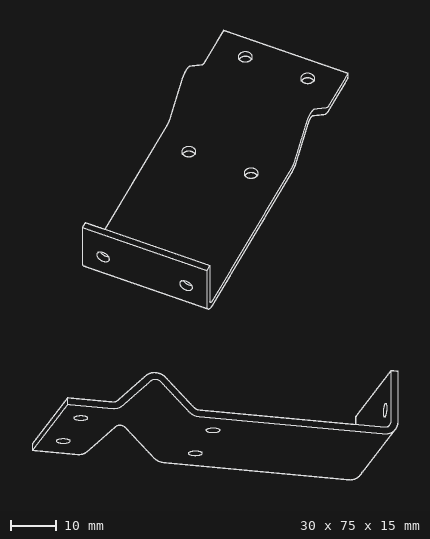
import cadquery as cq
import math

WIDTH = 30.0
LENGTH = 75.0
FLANGE_HEIGHT = 15.0
THICKNESS = 1.6
INNER_RADIUS = 1.6
OUTER_RADIUS = INNER_RADIUS + THICKNESS

RIDGE_SLOPE = 45.0
RIDGE_FROM_BACK = 20.0
RIDGE_UNDERSIDE_APEX = 8.47

HOLE_DIAMETER = 3.0
BASE_HOLE_SPACING = 15.0
BASE_HOLES_FROM_RIDGE = 15.0
FLANGE_HOLE_SPACING = 20.0
FLANGE_HOLE_HEIGHT = FLANGE_HEIGHT / 2

RIDGE_Y = LENGTH - RIDGE_FROM_BACK


def bent_strip():
    """Side profile of the bent sheet extruded across the width."""
    slope = math.radians(RIDGE_SLOPE)
    bend_setback = OUTER_RADIUS * math.tan(slope / 2)
    foot_offset = RIDGE_UNDERSIDE_APEX / math.tan(slope) + bend_setback
    foot_z = OUTER_RADIUS
    crest_z = RIDGE_UNDERSIDE_APEX - INNER_RADIUS / math.cos(slope)
    front_foot_y = RIDGE_Y - foot_offset
    back_foot_y = RIDGE_Y + foot_offset

    def around(center_y, center_z, radius, degrees):
        angle = math.radians(degrees)
        return (center_y + radius * math.cos(angle), center_z + radius * math.sin(angle))

    def flange_bend(radius, degrees):
        return around(OUTER_RADIUS, OUTER_RADIUS, radius, degrees)

    def front_foot(radius, turn):
        return around(front_foot_y, foot_z, radius, turn - 90)

    def back_foot(radius, turn):
        return around(back_foot_y, foot_z, radius, -90 - turn)

    def crest(radius, turn):
        return around(RIDGE_Y, crest_z, radius, 90 + turn)

    half_turn = RIDGE_SLOPE / 2
    profile = (
        cq.Workplane("YZ")
        .moveTo(0, FLANGE_HEIGHT)
        .lineTo(*flange_bend(OUTER_RADIUS, 180))
        .threePointArc(flange_bend(OUTER_RADIUS, 225), flange_bend(OUTER_RADIUS, 270))
        .lineTo(*front_foot(OUTER_RADIUS, 0))
        .threePointArc(front_foot(OUTER_RADIUS, half_turn), front_foot(OUTER_RADIUS, RIDGE_SLOPE))
        .lineTo(*crest(INNER_RADIUS, RIDGE_SLOPE))
        .threePointArc(crest(INNER_RADIUS, 0), crest(INNER_RADIUS, -RIDGE_SLOPE))
        .lineTo(*back_foot(OUTER_RADIUS, RIDGE_SLOPE))
        .threePointArc(back_foot(OUTER_RADIUS, half_turn), back_foot(OUTER_RADIUS, 0))
        .lineTo(LENGTH, 0)
        .lineTo(LENGTH, THICKNESS)
        .lineTo(*back_foot(INNER_RADIUS, 0))
        .threePointArc(back_foot(INNER_RADIUS, half_turn), back_foot(INNER_RADIUS, RIDGE_SLOPE))
        .lineTo(*crest(OUTER_RADIUS, -RIDGE_SLOPE))
        .threePointArc(crest(OUTER_RADIUS, 0), crest(OUTER_RADIUS, RIDGE_SLOPE))
        .lineTo(*front_foot(INNER_RADIUS, RIDGE_SLOPE))
        .threePointArc(front_foot(INNER_RADIUS, half_turn), front_foot(INNER_RADIUS, 0))
        .lineTo(*flange_bend(INNER_RADIUS, 270))
        .threePointArc(flange_bend(INNER_RADIUS, 225), flange_bend(INNER_RADIUS, 180))
        .lineTo(THICKNESS, FLANGE_HEIGHT)
        .close()
    )
    return profile.extrude(WIDTH / 2, both=True)


def base_holes():
    """Vertical holes: one pair on each side of the ridge."""
    points = [
        (x_side * BASE_HOLE_SPACING / 2, RIDGE_Y + y_side * BASE_HOLES_FROM_RIDGE)
        for x_side in (-1, 1)
        for y_side in (-1, 1)
    ]
    return cq.Workplane("XY").pushPoints(points).circle(HOLE_DIAMETER / 2).extrude(THICKNESS)


def flange_holes():
    """Pair of holes through the upright flange."""
    points = [(x_side * FLANGE_HOLE_SPACING / 2, FLANGE_HOLE_HEIGHT) for x_side in (-1, 1)]
    return cq.Workplane("XZ").pushPoints(points).circle(HOLE_DIAMETER / 2).extrude(-THICKNESS)


result = bent_strip().cut(base_holes()).cut(flange_holes())